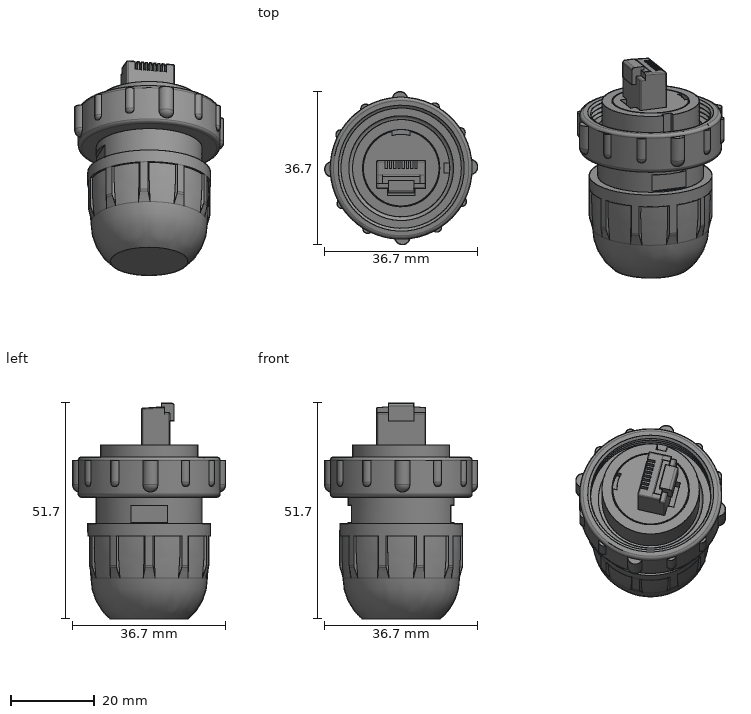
import cadquery as cq
dome_top_z = 9.9
dome_base_radius = 9.25
dome_middle = (13.38, 6.1)
dome_top_radius = 13.94
panel_radius = 14.25
panel_middle = (14.2, 14.0)
collar_radius = 14.72
collar_bottom_z = 19.87
collar_top_z = 22.88

rib_count = 10
rib_taper_top_z = 12.9
rib_round_end = (14.65, 12.4)
rib_crest_width = 1.85
rib_root_width = 2.4
rib_root_overlap = 1.0

neck_radius = 12.7
flat_distance = 11.92
flat_bottom_z = 23.16
flat_top_z = 27.25

nut_radius = 17.0
nut_bottom_z = 29.17
nut_top_z = 38.8
nut_edge_fillet = 0.8
nut_floor_z = 35.1
nut_mouth_radius = 15.08
nut_bore_radius = 14.4
mouth_chamfer_height = 0.4
thread_count = 3

bump_count = 12
large_bump_interval = 3
bump_turn = 1.0
bump_centre_radius = 16.5
large_bump_radius = 1.83
small_bump_radius = 1.2
bump_top_z = nut_top_z - nut_edge_fillet
large_bump_end_z = 32.2
small_bump_end_z = 32.8

sleeve_radius = 11.64
sleeve_top_z = 41.7
cove_radius = 0.9
insert_radius = 9.25
insert_gap = 0.2
insert_gap_depth = 1.0
insert_notch_width = 4.3
insert_notch_inner_radius = 8.1
insert_notch_depth = 2.0
key_width = 2.4
key_inner_x = 10.3

plug_width = 11.7
plug_back_y = 1.8
plug_front_y = -4.93
plug_back_z = 50.5
plug_ridge_y = -1.66
plug_ridge_z = 50.73
plug_step_y = -3.65
plug_shelf_z = 49.46
plug_edge_fillet = 0.3
plug_top_fillet = 0.3
pad_width = 8.9
pad_height = 0.12
pad_bevel = 0.3

contact_count = 8
contact_pitch = 1.02
contact_slot_width = 0.55
contact_slot_end_y = -0.1
contact_slot_depth = 2.0

latch_width = 6.1
latch_back_y = -2.9
latch_front_y = -6.0
latch_bottom_z = 47.46
latch_top_z = 51.72
latch_fillet = 0.65
latch_pocket_width = 6.5
latch_pocket_front_y = -6.5
latch_pocket_depth = 3.0


def disc(radius, bottom_z, top_z):
    return cq.Workplane("XY").workplane(offset=bottom_z).circle(radius).extrude(top_z - bottom_z)


def block(x_range, y_range, z_range):
    """Axis-aligned box between the given limits."""
    (x0, x1), (y0, y1), (z0, z1) = x_range, y_range, z_range
    return cq.Workplane("XY").box(x1 - x0, y1 - y0, z1 - z0, centered=False).translate((x0, y0, z0))


def centred_block(width, y_range, z_range):
    return block((-width / 2, width / 2), y_range, z_range)


def revolved(profile):
    """Full turn about Z of a closed (radius, z) profile drawn on the XZ plane."""
    return profile.revolve(360, (0, 0, 0), (0, 1, 0))


def make_back_shell():
    shell = revolved(
        cq.Workplane("XZ")
        .moveTo(0, 0)
        .lineTo(dome_base_radius, 0)
        .threePointArc(dome_middle, (dome_top_radius, dome_top_z))
        .threePointArc(panel_middle, (panel_radius, collar_bottom_z))
        .lineTo(collar_radius, collar_bottom_z)
        .lineTo(collar_radius, collar_top_z)
        .lineTo(0, collar_top_z)
        .close()
    )
    return shell.union(make_ribs())


def make_ribs():
    """Ribs flush with the collar, with flared flanks, tapering into the dome at their lower ends."""
    rib_inner_radius = dome_top_radius - rib_root_overlap
    envelope = revolved(
        cq.Workplane("XZ")
        .moveTo(rib_inner_radius, dome_top_z)
        .lineTo(dome_top_radius, dome_top_z)
        .lineTo(*rib_round_end)
        .lineTo(collar_radius, rib_taper_top_z)
        .lineTo(collar_radius, collar_bottom_z)
        .lineTo(rib_inner_radius, collar_bottom_z)
        .close()
    )
    flare = (rib_root_width - rib_crest_width) / 2 / (collar_radius - panel_radius)
    inner_half_width = rib_crest_width / 2 + flare * (collar_radius - rib_inner_radius)
    outer_overshoot = 0.1
    outer_half_width = rib_crest_width / 2 - flare * outer_overshoot
    wedge = (
        cq.Workplane("XY")
        .workplane(offset=dome_top_z)
        .polyline([
            (rib_inner_radius, -inner_half_width),
            (collar_radius + outer_overshoot, -outer_half_width),
            (collar_radius + outer_overshoot, outer_half_width),
            (rib_inner_radius, inner_half_width),
        ])
        .close()
        .extrude(collar_bottom_z - dome_top_z)
    )
    rib = wedge.intersect(envelope)
    ribs = cq.Workplane("XY")
    for i in range(rib_count):
        ribs = ribs.add(rib.rotate((0, 0, 0), (0, 0, 1), i * 360 / rib_count))
    return ribs.combine()


def make_neck():
    neck = disc(neck_radius, collar_top_z, nut_bottom_z)
    flat_z = (flat_bottom_z, flat_top_z)
    neck_y = (-neck_radius, neck_radius)
    for x_range in ((-neck_radius, -flat_distance), (flat_distance, neck_radius)):
        neck = neck.cut(block(x_range, neck_y, flat_z))
    return neck


def make_nut():
    nut = disc(nut_radius, nut_bottom_z, nut_top_z).edges().fillet(nut_edge_fillet)
    for i in range(bump_count):
        is_large = i % large_bump_interval == 0
        nut = nut.union(make_bump(is_large, bump_turn + i * 360 / bump_count))
    return nut.cut(make_nut_bore())


def make_bump(is_large, angle):
    """Vertical half-round bump with a ball-shaped lower end."""
    radius = large_bump_radius if is_large else small_bump_radius
    end_z = large_bump_end_z if is_large else small_bump_end_z
    bump = disc(radius, end_z, bump_top_z)
    bump = bump.union(cq.Workplane("XY").sphere(radius).translate((0, 0, end_z)))
    return bump.translate((bump_centre_radius, 0, 0)).rotate((0, 0, 0), (0, 0, 1), angle)


def make_nut_bore():
    """Threaded cavity: conical mouth followed by V-shaped thread grooves down to the floor."""
    thread_start_z = nut_top_z - mouth_chamfer_height
    thread_pitch = (thread_start_z - nut_floor_z) / thread_count
    profile = (
        cq.Workplane("XZ")
        .moveTo(0, nut_floor_z)
        .lineTo(0, nut_top_z)
        .lineTo(nut_mouth_radius, nut_top_z)
        .lineTo(nut_bore_radius, thread_start_z)
    )
    for i in range(thread_count):
        crest_z = thread_start_z - i * thread_pitch
        profile = profile.lineTo(nut_mouth_radius, crest_z - thread_pitch / 2)
        profile = profile.lineTo(nut_bore_radius, crest_z - thread_pitch)
    return revolved(profile.close())


def make_foot_cove():
    """Ring whose lower half sinks a round-bottomed groove into the nut floor around the sleeve."""
    return cq.Workplane(
        cq.Solid.makeTorus(sleeve_radius, cove_radius, cq.Vector(0, 0, nut_floor_z))
    )


def make_sleeve():
    sleeve = disc(sleeve_radius, nut_floor_z - cove_radius, sleeve_top_z)
    gap_bottom_z = sleeve_top_z - insert_gap_depth
    gap = disc(insert_radius, gap_bottom_z, sleeve_top_z).cut(
        disc(insert_radius - insert_gap, gap_bottom_z, sleeve_top_z)
    )
    notch_bottom_z = sleeve_top_z - insert_notch_depth
    notch_ring = disc(insert_radius, notch_bottom_z, sleeve_top_z).cut(
        disc(insert_notch_inner_radius, notch_bottom_z, sleeve_top_z)
    )
    notch = centred_block(
        insert_notch_width, (0, insert_radius), (notch_bottom_z, sleeve_top_z)
    ).intersect(notch_ring)
    keyway = block(
        (key_inner_x, sleeve_radius), (-key_width / 2, key_width / 2),
        (nut_floor_z, sleeve_top_z),
    )
    pocket = centred_block(
        latch_pocket_width, (latch_pocket_front_y, plug_front_y),
        (sleeve_top_z - latch_pocket_depth, sleeve_top_z),
    )
    return sleeve.cut(gap).cut(notch).cut(keyway).cut(pocket)


def make_plug():
    base_z = sleeve_top_z - latch_pocket_depth
    plug = (
        cq.Workplane("YZ")
        .polyline([
            (plug_front_y, base_z),
            (plug_back_y, base_z),
            (plug_back_y, plug_back_z),
            (plug_ridge_y, plug_ridge_z),
            (plug_step_y, plug_ridge_z),
            (plug_step_y, plug_shelf_z),
            (plug_front_y, plug_shelf_z),
        ])
        .close()
        .extrude(plug_width / 2, both=True)
        .edges("|X and (<Y or >Y) and (not <Z)")
        .fillet(plug_top_fillet)
        .edges("|Z and (<Y or >Y)")
        .fillet(plug_edge_fillet)
    )
    pad = (
        cq.Workplane("YZ")
        .polyline([
            (plug_ridge_y, plug_ridge_z),
            (plug_ridge_y - pad_bevel, plug_ridge_z + pad_height),
            (plug_step_y, plug_ridge_z + pad_height),
            (plug_step_y, plug_ridge_z),
        ])
        .close()
        .extrude(pad_width / 2, both=True)
    )
    return plug.union(pad).union(make_latch()).cut(make_contact_slots())


def make_latch():
    latch = centred_block(
        latch_width, (latch_front_y, latch_back_y), (latch_bottom_z, latch_top_z)
    )
    return latch.edges("|X and >Z and <Y").fillet(latch_fillet)


def make_contact_slots():
    slots = cq.Workplane("XY")
    for i in range(contact_count):
        x = (i - (contact_count - 1) / 2) * contact_pitch
        slots = slots.add(block(
            (x - contact_slot_width / 2, x + contact_slot_width / 2),
            (contact_slot_end_y, plug_back_y),
            (plug_back_z - contact_slot_depth, plug_ridge_z),
        ))
    return slots.combine()


result = (
    make_back_shell()
    .union(make_neck())
    .union(make_nut())
    .cut(make_foot_cove())
    .union(make_sleeve())
    .union(make_plug())
)